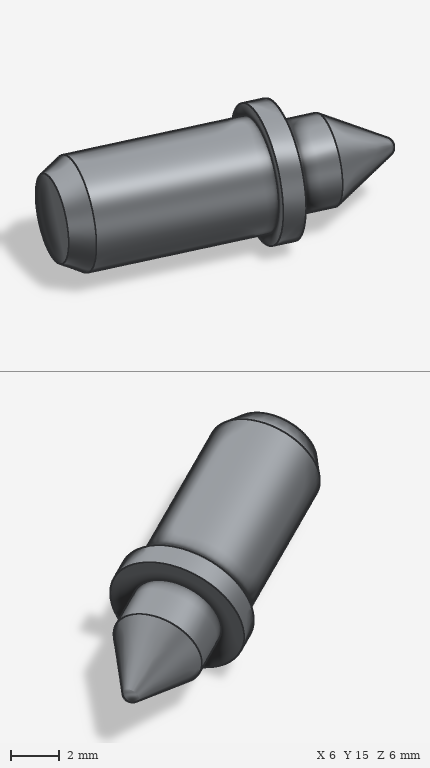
import cadquery as cq
import math

total_length = 15.0
flange_radius = 3.0
body_radius = 2.48
neck_radius = 1.98
taper_angle = math.radians(30)

lead_in_length = total_length / 15
flange_start = 0.6 * total_length
flange_end = flange_start + lead_in_length
neck_end = 0.8 * total_length
blunt_end_radius = body_radius - lead_in_length * math.tan(taper_angle)

apex = neck_end + neck_radius / math.tan(taper_angle)
tip_radius = (apex - total_length) / (1 / math.sin(taper_angle) - 1)
tip_center = total_length - tip_radius
tangent_radius = tip_radius * math.cos(taper_angle)
tangent_station = tip_center + tip_radius * math.sin(taper_angle)
mid_angle = (math.pi / 2 + taper_angle) / 2
arc_middle = (
    tip_radius * math.cos(mid_angle),
    tip_center + tip_radius * math.sin(mid_angle),
)

half_profile = (
    cq.Workplane("XY")
    .moveTo(0, 0)
    .lineTo(blunt_end_radius, 0)
    .lineTo(body_radius, lead_in_length)
    .lineTo(body_radius, flange_start)
    .lineTo(flange_radius, flange_start)
    .lineTo(flange_radius, flange_end)
    .lineTo(neck_radius, flange_end)
    .lineTo(neck_radius, neck_end)
    .lineTo(tangent_radius, tangent_station)
    .threePointArc(arc_middle, (0, total_length))
    .close()
)

result = half_profile.revolve(360, (0, 0, 0), (0, 1, 0))